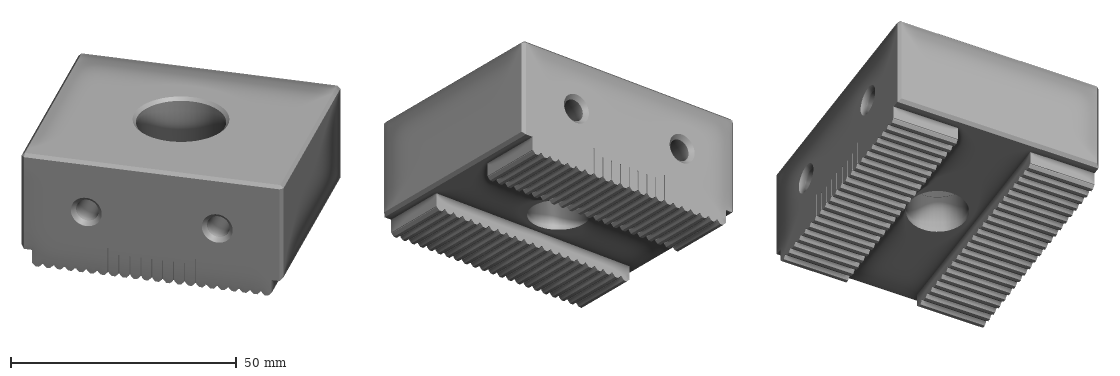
import cadquery as cq

LENGTH = 60.0
WIDTH = 50.0
HEIGHT = 27.7
EDGE_CHAMFER = 0.7

FOOT_HEIGHT = 4.0
CHANNEL_WIDTH = 18.0
TOOTH_COUNT = 22
TOOTH_PITCH = LENGTH / 24
GAP_WIDTH = 1.7
ROOT_SLOT_WIDTH = 0.4
GAP_DEPTH = 0.8
FEET_LENGTH = 54.9

BORE_DIAMETER = 14.0
COUNTERBORE_DIAMETER = 20.0
COUNTERBORE_DEPTH = 13.0
BORE_CHAMFER = 0.7

SIDE_HOLE_SPACING = LENGTH / 2
SIDE_HOLE_BELOW_TOP = 12.5
SIDE_HOLE_DIAMETER = 5.15
SIDE_HOLE_DEPTH = 12.0
COUNTERSINK_DIAMETER = 7.1
COUNTERSINK_DEPTH = (COUNTERSINK_DIAMETER - SIDE_HOLE_DIAMETER) / 2

MARKS_PER_SIDE = 4
MARK_WIDTH = 0.25
MARK_DEPTH = 0.25
LONG_MARK_TOP = 6.9
SHORT_MARK_TOP = 5.5

FRONT_Y = -WIDTH / 2


def make_block():
    """Chamfered upper block; its long bottom edges stay sharp, flush with the feet."""
    block = cq.Workplane("XY").box(LENGTH, WIDTH, HEIGHT - FOOT_HEIGHT, centered=(True, True, False))
    block = block.translate((0, 0, FOOT_HEIGHT))
    upright_edges = block.edges("|Z")
    top_edges = block.faces(">Z").edges()
    short_bottom_edges = block.faces("<Z").edges("|Y")
    return upright_edges.add(top_edges).add(short_bottom_edges).chamfer(EDGE_CHAMFER)


def make_feet():
    """Pair of feet with 90 degree V gaps, slotted at the root, between the teeth, running along Y."""
    feet = cq.Workplane("XY").box(FEET_LENGTH, WIDTH, FOOT_HEIGHT, centered=(True, True, False))
    feet = feet.cut(cq.Workplane("XY").box(LENGTH, CHANNEL_WIDTH, 2 * FOOT_HEIGHT))
    half_gap = GAP_WIDTH / 2
    half_slot = ROOT_SLOT_WIDTH / 2
    slot_start = half_gap - half_slot
    for index in range(TOOTH_COUNT + 1):
        x = (index - TOOTH_COUNT / 2) * TOOTH_PITCH
        gap = (
            cq.Workplane("XZ")
            .moveTo(x - half_gap, 0)
            .lineTo(x - half_slot, slot_start)
            .lineTo(x - half_slot, GAP_DEPTH)
            .lineTo(x + half_slot, GAP_DEPTH)
            .lineTo(x + half_slot, slot_start)
            .lineTo(x + half_gap, 0)
            .close()
            .extrude(WIDTH / 2, both=True)
        )
        feet = feet.cut(gap)
    return feet


def make_stepped_hole():
    """Half profile of the counterbored hole, with a chamfer at each mouth, turned about Z."""
    bore_radius = BORE_DIAMETER / 2
    counterbore_radius = COUNTERBORE_DIAMETER / 2
    floor_z = HEIGHT - COUNTERBORE_DEPTH
    profile = [
        (0, 0),
        (bore_radius, 0),
        (bore_radius, floor_z - BORE_CHAMFER),
        (bore_radius + BORE_CHAMFER, floor_z),
        (counterbore_radius, floor_z),
        (counterbore_radius, HEIGHT - BORE_CHAMFER),
        (counterbore_radius + BORE_CHAMFER, HEIGHT),
        (0, HEIGHT),
    ]
    return cq.Workplane("XZ").polyline(profile).close().revolve(360, (0, 0), (0, 1))


def make_side_hole(x):
    """Half profile of a flat-bottomed countersunk hole, turned about an axis along Y."""
    hole_radius = SIDE_HOLE_DIAMETER / 2
    profile = [
        (0, 0),
        (COUNTERSINK_DIAMETER / 2, 0),
        (hole_radius, COUNTERSINK_DEPTH),
        (hole_radius, SIDE_HOLE_DEPTH),
        (0, SIDE_HOLE_DEPTH),
    ]
    hole = cq.Workplane("XY").polyline(profile).close().revolve(360, (0, 0), (0, 1))
    return hole.translate((x, FRONT_Y, HEIGHT - SIDE_HOLE_BELOW_TOP))


def make_mark(index):
    """Thin square groove rising from a tooth gap; the outermost marks are longer."""
    top = LONG_MARK_TOP if abs(index) == MARKS_PER_SIDE else SHORT_MARK_TOP
    mark = cq.Workplane("XY").box(MARK_WIDTH, MARK_DEPTH, top, centered=(True, False, False))
    return mark.translate((index * TOOTH_PITCH, FRONT_Y, 0))


result = make_block().union(make_feet()).cut(make_stepped_hole())

for hole_x in (-SIDE_HOLE_SPACING / 2, SIDE_HOLE_SPACING / 2):
    result = result.cut(make_side_hole(hole_x))

for mark_index in range(-MARKS_PER_SIDE, MARKS_PER_SIDE + 1):
    result = result.cut(make_mark(mark_index))